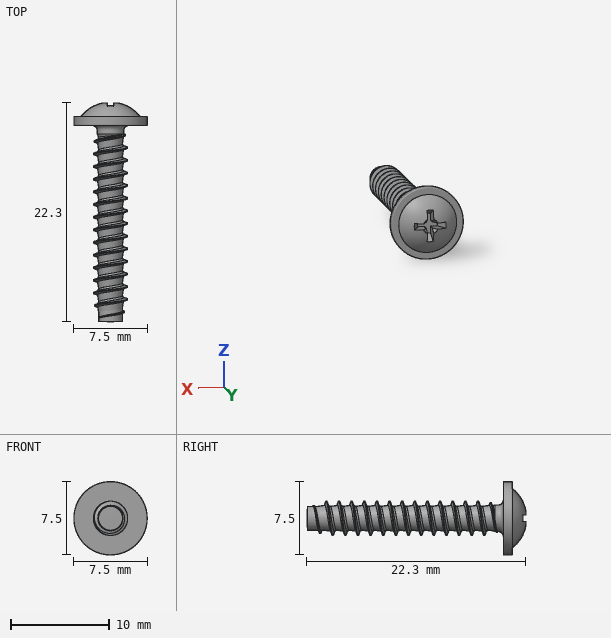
import cadquery as cq
import math


flange_diameter = 7.5
flange_thickness = 0.93
flange_edge_fillet = 0.08
dome_base_radius = 3.03
dome_height = 1.48
head_height = flange_thickness + dome_height

wing_width = 0.64
wing_apex_radius = 1.85
core_apex_radius = 0.84
recess_depth = 1.6
recess_slope_angle = 26.5

length = 20.0
neck_radius = 1.37
neck_fillet = 0.5
neck_end = 0.84
neck_taper_end = 1.2
core_radius = 1.225
tip_cone_height = 0.03

pitch = 1.288
crest_radius = 1.75
crest_half_width = 0.04
foot_radius = 1.33
foot_half_width = 0.18
groove_radius = 1.22
groove_offset = 0.40
groove_length = pitch - groove_offset
buried_radius = 1.05
buried_inset = 0.15
start_position = 0.64
start_angle = -90
start_crest_radius = 1.45
start_foot_half_width = 0.11
end_crest_radius = 1.22
end_foot_radius = 1.2
end_groove_radius = 1.19
end_foot_half_width = 0.06
end_groove_length = 0.25
start_ramp_turns = 1.0
full_thread_turns = 12.5
end_ramp_turns = 1.25


def make_head():
    """Flange with a spherical dome on top of it."""
    flange = (
        cq.Workplane("XY")
        .circle(flange_diameter / 2)
        .extrude(-flange_thickness)
        .edges()
        .fillet(flange_edge_fillet)
    )
    sphere_radius = (dome_base_radius**2 + dome_height**2) / (2 * dome_height)
    sphere_center = sphere_radius - head_height
    mid_angle = math.asin(dome_base_radius / sphere_radius) / 2
    mid_point = (
        sphere_radius * math.sin(mid_angle),
        sphere_center - sphere_radius * math.cos(mid_angle),
    )
    dome = (
        cq.Workplane("YZ")
        .moveTo(0, -flange_thickness / 2)
        .lineTo(0, -head_height)
        .threePointArc(mid_point, (dome_base_radius, -flange_thickness))
        .lineTo(dome_base_radius, -flange_thickness / 2)
        .close()
        .revolve(360, (0, 0, 0), (0, 1, 0))
    )
    return flange.union(dome)


def make_recess_cone(top_radius):
    """Tapered plug that narrows from the dome apex to the recess floor."""
    floor_radius = top_radius - recess_depth * math.tan(math.radians(recess_slope_angle))
    apex = cq.Vector(0, 0, -head_height)
    inward = cq.Vector(0, 0, 1)
    return cq.Workplane(cq.Solid.makeCone(top_radius, floor_radius, recess_depth, apex, inward))


def make_recess():
    """Four wings with sloping ends around a conical core."""
    core = make_recess_cone(core_apex_radius)
    span = 2 * wing_apex_radius
    apex_plane = cq.Workplane("XY", origin=(0, 0, -head_height))
    slot = apex_plane.rect(span, wing_width).extrude(recess_depth)
    cross = slot.union(slot.rotate((0, 0, 0), (0, 0, 1), 90))
    return cross.intersect(make_recess_cone(wing_apex_radius)).union(core)


def make_shank():
    """Neck with a fillet under the head, threaded core and blunt conical tip."""
    rim = length - tip_cone_height
    fillet_mid = neck_fillet * (1 - math.sqrt(0.5))
    return (
        cq.Workplane("YZ")
        .moveTo(0, -flange_thickness / 2)
        .lineTo(neck_radius + neck_fillet, -flange_thickness / 2)
        .lineTo(neck_radius + neck_fillet, 0)
        .threePointArc(
            (neck_radius + fillet_mid, fillet_mid),
            (neck_radius, neck_fillet),
        )
        .lineTo(neck_radius, neck_end)
        .lineTo(core_radius, neck_taper_end)
        .lineTo(core_radius, rim)
        .lineTo(0, length)
        .close()
        .revolve(360, (0, 0, 0), (0, 1, 0))
    )


def thread_profile(crest, foot, groove, half_width, trailing_offset):
    """Corners of the thread section as (radius, axial offset from the crest)."""
    return [
        (buried_radius, -groove_offset + buried_inset),
        (groove, -groove_offset),
        (foot, -half_width),
        (crest, -crest_half_width),
        (crest, crest_half_width),
        (foot, half_width),
        (groove, trailing_offset),
        (buried_radius, trailing_offset - buried_inset),
    ]


def helix_edge(first, last, turn, turns):
    """Helix joining two profile corners, with a linear change of radius."""
    rise = turns * pitch + last[1] - first[1]
    growth = last[0] - first[0]
    if growth:
        slope_length = math.copysign(math.hypot(rise, growth), rise)
        cone_angle = math.degrees(math.atan2(growth, rise))
        wire = cq.Wire.makeHelix(slope_length / turns, slope_length, first[0], angle=cone_angle)
    else:
        wire = cq.Wire.makeHelix(rise / turns, rise, first[0])
    edge = wire.Edges()[0]
    position = start_position + turn * pitch + first[1]
    edge = edge.rotate(cq.Vector(0, 0, 0), cq.Vector(0, 0, 1), start_angle + 360 * turn)
    return edge.translate(cq.Vector(0, 0, position))


def thread_cap(profile, turn):
    """Flat end face of the thread."""
    angle = math.radians(start_angle + 360 * turn)
    position = start_position + turn * pitch
    corners = [
        cq.Vector(radius * math.cos(angle), radius * math.sin(angle), position + offset)
        for radius, offset in profile
    ]
    return cq.Face.makeFromWires(cq.Wire.makePolygon(corners, close=True))


def make_thread():
    """Right-hand thread that rises at the neck and fades into the core at the tip."""
    start = thread_profile(
        crest=start_crest_radius,
        foot=foot_radius,
        groove=groove_radius,
        half_width=start_foot_half_width,
        trailing_offset=groove_length,
    )
    full = thread_profile(
        crest=crest_radius,
        foot=foot_radius,
        groove=groove_radius,
        half_width=foot_half_width,
        trailing_offset=groove_length,
    )
    end = thread_profile(
        crest=end_crest_radius,
        foot=end_foot_radius,
        groove=end_groove_radius,
        half_width=end_foot_half_width,
        trailing_offset=end_groove_length,
    )
    stretches = [
        (start, full, start_ramp_turns),
        (full, full, full_thread_turns),
        (full, end, end_ramp_turns),
    ]
    faces = [thread_cap(start, 0)]
    turn = 0
    for first, last, turns in stretches:
        edges = [helix_edge(a, b, turn, turns) for a, b in zip(first, last)]
        for edge, next_edge in zip(edges, edges[1:] + edges[:1]):
            faces.append(cq.Face.makeRuledSurface(edge, next_edge))
        turn += turns
    faces.append(thread_cap(end, turn))
    return cq.Workplane(cq.Solid.makeSolid(cq.Shell.makeShell(faces)))


head = make_head().cut(make_recess())
screw = head.union(make_shank()).union(make_thread())
result = screw.rotate((0, 0, 0), (1, 0, 0), 90).solids()